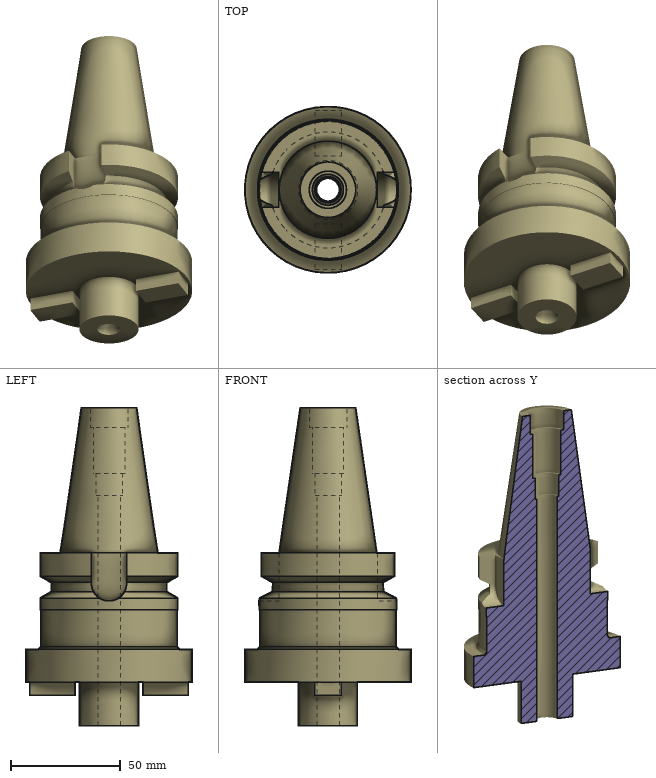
import cadquery as cq
import math


gauge_radius = 44.45 / 2
taper_length = 65.4
taper_ratio = 7 / 24
taper_tip_radius = gauge_radius - taper_length * taper_ratio / 2

flange_radius = 63 / 2
flange_top_z = -1.0
flange_bottom_z = -27.0
groove_center_z = -16.6
groove_floor_radius = 53 / 2
groove_flank_angle = 30
groove_mouth_width = 10.0

body_radius = 62.4 / 2
collar_radius = 64.4 / 2
collar_height = 1.2
face_flange_radius = 76 / 2
face_flange_top_z = -45.0
face_flange_bottom_z = -60.0
pilot_radius = 27 / 2
pilot_bottom_z = -80.0

slot_width = 16.1
slot_floor_x = 22.5
slot_bottom_z = -22.9

lug_width = 12.0
lug_height = 6.0
lug_inner_y = 15.5
lug_outer_y = 36.2

bore_steps = [(17 / 2, 9.0), (14.2 / 2, 30.0), (12 / 2, 40.0)]
through_bore_radius = 10.4 / 2


def make_turned_body():
    """Revolve the outer profile of taper, flanges and pilot."""
    half_mouth = groove_mouth_width / 2
    flank_height = (flange_radius - groove_floor_radius) * math.tan(math.radians(groove_flank_angle))
    half_floor = half_mouth - flank_height
    profile = [
        (0, pilot_bottom_z),
        (pilot_radius, pilot_bottom_z),
        (pilot_radius, face_flange_bottom_z),
        (face_flange_radius, face_flange_bottom_z),
        (face_flange_radius, face_flange_top_z),
        (collar_radius, face_flange_top_z),
        (body_radius, face_flange_top_z + collar_height),
        (body_radius, flange_bottom_z),
        (flange_radius, flange_bottom_z),
        (flange_radius, groove_center_z - half_mouth),
        (groove_floor_radius, groove_center_z - half_floor),
        (groove_floor_radius, groove_center_z + half_floor),
        (flange_radius, groove_center_z + half_mouth),
        (flange_radius, flange_top_z),
        (gauge_radius, flange_top_z),
        (gauge_radius, 0),
        (taper_tip_radius, taper_length),
        (0, taper_length),
    ]
    return cq.Workplane("XZ").polyline(profile).close().revolve(360, (0, 0, 0), (0, 1, 0))


def make_slot(side):
    """Round-ended driving slot, open at the top and rim, on the +X (1) or -X (-1) side."""
    half_width = slot_width / 2
    arc_center_z = slot_bottom_z + half_width
    return (
        cq.Workplane("YZ", origin=(side * slot_floor_x, 0, 0))
        .moveTo(-half_width, flange_top_z)
        .lineTo(-half_width, arc_center_z)
        .threePointArc((0, slot_bottom_z), (half_width, arc_center_z))
        .lineTo(half_width, flange_top_z)
        .close()
        .extrude(side * (face_flange_radius - slot_floor_x))
    )


def make_lug(side):
    """Rectangular driving lug on the +Y (1) or -Y (-1) side."""
    return (
        cq.Workplane("XY", origin=(0, 0, face_flange_bottom_z))
        .center(0, side * (lug_inner_y + lug_outer_y) / 2)
        .rect(lug_width, lug_outer_y - lug_inner_y)
        .extrude(-lug_height)
    )


def cut_bore(part):
    """Cut the stepped drawbar bore and the hole right through the part."""
    part_length = taper_length - pilot_bottom_z
    for radius, depth in bore_steps + [(through_bore_radius, part_length)]:
        part = part.cut(cq.Workplane("XY", origin=(0, 0, taper_length)).circle(radius).extrude(-depth))
    return part


result = make_turned_body()
for side in (1, -1):
    result = result.cut(make_slot(side))
    result = result.union(make_lug(side))
result = cut_bore(result)